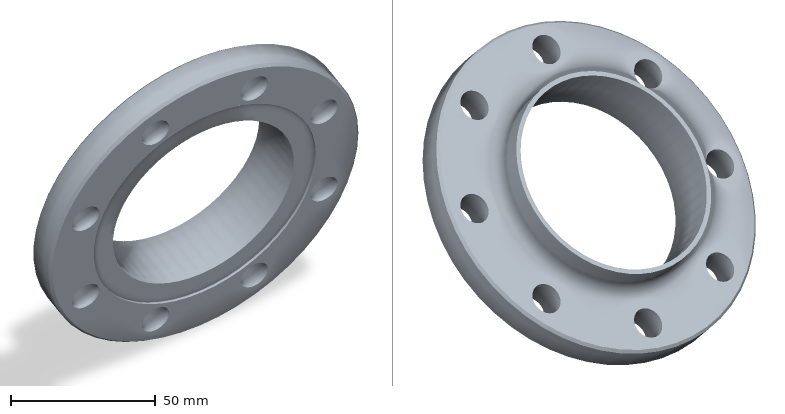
import cadquery as cq

flange_diameter = 125.0
flange_thickness = 12.0
rim_chamfer = 1.0

total_length = 24.0
neck_diameter = 76.2
neck_length = total_length - flange_thickness
neck_fillet = 4.0
bore_diameter = 72.9

recess_diameter = 89.6
recess_depth = 1.0

hole_count = 8
hole_diameter = 11.0
bolt_circle_diameter = 104.0
hole_spacing = 360 / hole_count


def flange_with_neck():
    """Chamfered disc with a filleted neck; the neck end lies on the plane X = 0."""
    disc = (
        cq.Workplane("YZ", origin=(neck_length, 0, 0))
        .circle(flange_diameter / 2)
        .extrude(flange_thickness)
        .edges()
        .chamfer(rim_chamfer)
    )
    neck = cq.Workplane("YZ").circle(neck_diameter / 2).extrude(neck_length)
    return (
        disc.union(neck)
        .edges(cq.selectors.RadiusNthSelector(0))
        .edges(">X")
        .fillet(neck_fillet)
    )


def bore():
    return cq.Workplane("YZ").circle(bore_diameter / 2).extrude(total_length)


def face_recess():
    return (
        cq.Workplane("YZ", origin=(total_length - recess_depth, 0, 0))
        .circle(recess_diameter / 2)
        .extrude(recess_depth)
    )


def bolt_holes():
    return (
        cq.Workplane("YZ")
        .polarArray(bolt_circle_diameter / 2, hole_spacing / 2, 360, hole_count)
        .circle(hole_diameter / 2)
        .extrude(total_length)
    )


result = flange_with_neck().cut(bore()).cut(face_recess()).cut(bolt_holes())